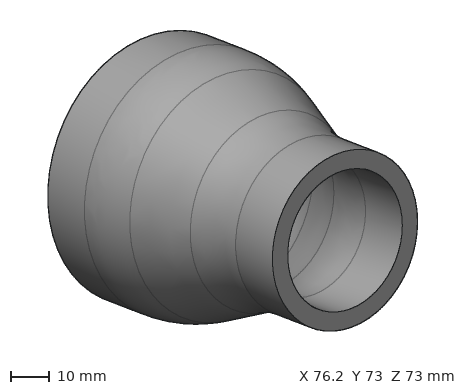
import cadquery as cq
import math

length = 76.2
large_radius = 36.5
small_radius = 24.15
wall = 5.1
collar_length = 14.9
bend_radius = 40.15

centre_run = length - 2 * collar_length
centre_rise = 2 * bend_radius - (large_radius - small_radius)
centre_distance = math.hypot(centre_run, centre_rise)
slope = math.atan2(centre_run, centre_rise) - math.acos(2 * bend_radius / centre_distance)

large_centre = (collar_length, large_radius - bend_radius)
small_centre = (length - collar_length, small_radius + bend_radius)


def point_on_bend(centre, radius, angle):
    """Bend point at an angle from the Y direction; a negative radius is the underside."""
    return (centre[0] + radius * math.sin(angle), centre[1] + radius * math.cos(angle))


def revolved_body(inset):
    """Solid bounded by the outer surface moved inward by inset."""
    large_bend = bend_radius - inset
    small_bend = -(bend_radius + inset)
    profile = (
        cq.Workplane("XY")
        .lineTo(0, large_radius - inset)
        .lineTo(*point_on_bend(large_centre, large_bend, 0))
        .threePointArc(
            point_on_bend(large_centre, large_bend, slope / 2),
            point_on_bend(large_centre, large_bend, slope),
        )
        .lineTo(*point_on_bend(small_centre, small_bend, slope))
        .threePointArc(
            point_on_bend(small_centre, small_bend, slope / 2),
            point_on_bend(small_centre, small_bend, 0),
        )
        .lineTo(length, small_radius - inset)
        .lineTo(length, 0)
        .close()
    )
    return profile.revolve(360, (0, 0, 0), (1, 0, 0))


result = revolved_body(0).cut(revolved_body(wall))